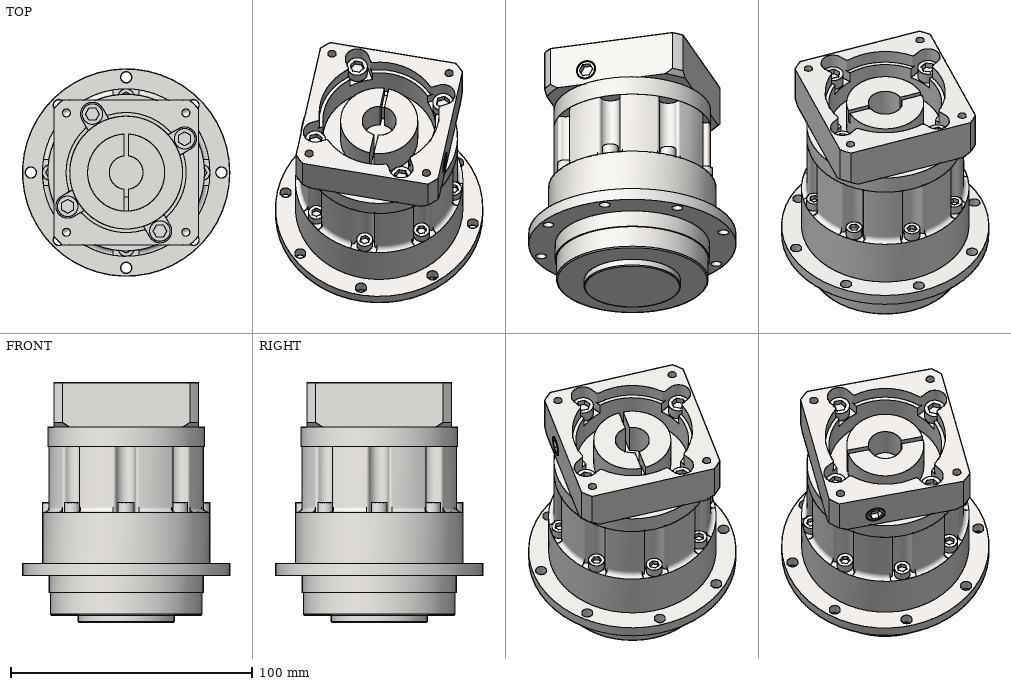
import cadquery as cq
import math


pilot_height = 3.0
front_disc_top = 12.5
flange_bottom = 19.5
flange_top = 24.5
shoulder_top = 45.7
adapter_bottom = 73.0
square_bottom = 81.0
overall_height = 99.5

pilot_radius = 20.0
front_disc_radius = 31.5
collar_radius = 32.0
housing_radius = 32.5
flange_radius = 43.0
shoulder_radius = 34.75
pilot_chamfer = 0.4
front_disc_chamfer = 0.5
shoulder_fillet = 2.0

flange_hole_count = 8
flange_hole_diameter = 4.5
flange_hole_circle_radius = 39.5

housing_screw_count = 8
housing_screw_circle_radius = 31.4
housing_screw_head_radius = 3.3
housing_screw_head_height = 4.0
housing_screw_hex_width = 3.5
housing_screw_hex_depth = 2.0
groove_radius = 4.0
groove_lip_radius = 1.2

adapter_ring_radius = housing_radius
square_side = 60.0
square_corner_radius = 40.0
corner_chamfer = 2.0

recess_radius = 24.9
recess_floor = overall_height - 6.0
bore_radius = 23.4
bore_floor = 79.0

adapter_screw_count = 4
adapter_screw_first_angle = 30.0
adapter_screw_circle_radius = 28.0
adapter_screw_head_radius = 4.25
adapter_screw_head_height = 5.0
adapter_screw_hex_width = 5.0
adapter_screw_hex_depth = 2.5
screw_pocket_radius = 4.9
screw_pocket_floor = recess_floor - adapter_screw_head_height
screw_pocket_lip_radius = 1.0

motor_hole_count = 4
motor_hole_circle_radius = 35.0
motor_hole_diameter = 3.3
motor_hole_depth = 10.0
drill_point_angle = 118.0

plug_y = 11.0
plug_z = 87.6
plug_radius = 3.75
plug_hole_radius = 4.1
plug_gap_depth = 0.2
plug_hex_width = 5.0
plug_hex_depth = 2.5

hub_radius = 16.0
hub_bore_radius = 7.0
hub_slot_width = 1.8
hub_web_inner_y = 10.1
hub_web_top = 88.0


def polar_point(radius, angle):
    """Point in the XY plane at a radius and an angle in radians."""
    return (radius * math.cos(angle), radius * math.sin(angle))


def cylinder(radius, bottom, top):
    """Cylinder on the gearbox axis between two levels."""
    return cq.Workplane("XY").workplane(offset=bottom).circle(radius).extrude(top - bottom)


def hexagon_across_corners(width_across_flats):
    """Distance across the corners of a regular hexagon."""
    return width_across_flats / math.cos(math.pi / 6)


def socket_screw_head(head_radius, head_height, hex_width, hex_depth):
    """Cylindrical screw head standing on Z = 0 with a hexagon socket in its top."""
    return (
        cq.Workplane("XY")
        .circle(head_radius)
        .extrude(head_height)
        .faces(">Z")
        .workplane()
        .polygon(6, hexagon_across_corners(hex_width))
        .cutBlind(-hex_depth)
    )


def around_axis(shape, count, first_angle=0.0):
    """Copies of a shape spaced evenly about the gearbox axis."""
    step = 360.0 / count
    return [shape.rotate((0, 0, 0), (0, 0, 1), first_angle + i * step) for i in range(count)]


def make_groove_cutter():
    """Axial screw groove on the +X side, with its two mouth edges rounded into the housing wall."""
    lip_center_radius = housing_radius - groove_lip_radius
    lip_to_groove = groove_radius + groove_lip_radius
    lip_angle = math.acos(
        (lip_center_radius**2 + housing_screw_circle_radius**2 - lip_to_groove**2)
        / (2 * lip_center_radius * housing_screw_circle_radius)
    )
    lip_x, lip_y = polar_point(lip_center_radius, lip_angle)
    wall_x, wall_y = polar_point(housing_radius, lip_angle)

    share = groove_radius / lip_to_groove
    tangent_x = housing_screw_circle_radius + share * (lip_x - housing_screw_circle_radius)
    tangent_y = share * lip_y

    start_angle = math.atan2(tangent_y - lip_y, tangent_x - lip_x)
    middle_angle = (start_angle + lip_angle) / 2
    middle_x = lip_x + groove_lip_radius * math.cos(middle_angle)
    middle_y = lip_y + groove_lip_radius * math.sin(middle_angle)

    outer_x = shoulder_radius + groove_lip_radius
    groove_bottom = (housing_screw_circle_radius - groove_radius, 0)
    return (
        cq.Workplane("XY")
        .workplane(offset=shoulder_top)
        .moveTo(outer_x, -wall_y)
        .lineTo(wall_x, -wall_y)
        .threePointArc((middle_x, -middle_y), (tangent_x, -tangent_y))
        .threePointArc(groove_bottom, (tangent_x, tangent_y))
        .threePointArc((middle_x, middle_y), (wall_x, wall_y))
        .lineTo(outer_x, wall_y)
        .close()
        .extrude(adapter_bottom - shoulder_top)
    )


def make_gearbox_body():
    """Output pilot, mounting flange and grooved housing with its screw heads."""
    pilot = cylinder(pilot_radius, 0, pilot_height).faces("<Z").chamfer(pilot_chamfer)
    front_disc = (
        cylinder(front_disc_radius, pilot_height, front_disc_top).faces("<Z").chamfer(front_disc_chamfer)
    )
    collar = cylinder(collar_radius, front_disc_top, flange_bottom)
    flange = cylinder(flange_radius, flange_bottom, flange_top)
    shoulder = cylinder(shoulder_radius, flange_top, shoulder_top)

    flare_reach = shoulder_fillet * (1 - math.sqrt(0.5))
    housing = (
        cq.Workplane("XZ")
        .moveTo(0, shoulder_top)
        .lineTo(housing_radius + shoulder_fillet, shoulder_top)
        .threePointArc(
            (housing_radius + flare_reach, shoulder_top + flare_reach),
            (housing_radius, shoulder_top + shoulder_fillet),
        )
        .lineTo(housing_radius, adapter_bottom)
        .lineTo(0, adapter_bottom)
        .close()
        .revolve(360, (0, 0, 0), (0, 1, 0))
    )
    for groove in around_axis(make_groove_cutter(), housing_screw_count):
        housing = housing.cut(groove)

    body = pilot
    for section in (front_disc, collar, flange, shoulder, housing):
        body = body.union(section)

    flange_holes = (
        cq.Workplane("XY")
        .workplane(offset=flange_bottom)
        .polarArray(flange_hole_circle_radius, 0, 360, flange_hole_count)
        .circle(flange_hole_diameter / 2)
        .extrude(flange_top - flange_bottom)
    )
    body = body.cut(flange_holes)

    screw_head = socket_screw_head(
        housing_screw_head_radius,
        housing_screw_head_height,
        housing_screw_hex_width,
        housing_screw_hex_depth,
    ).translate((housing_screw_circle_radius, 0, shoulder_top))
    for head in around_axis(screw_head, housing_screw_count):
        body = body.union(head)
    return body


def make_adapter_blank():
    """Square plate with turned corners, bevelled underneath, on a round ring."""
    ring = cylinder(adapter_ring_radius, adapter_bottom, square_bottom)
    turned = (
        cylinder(square_corner_radius, square_bottom, overall_height).faces("<Z").chamfer(corner_chamfer)
    )
    square = (
        cq.Workplane("XY")
        .workplane(offset=square_bottom)
        .rect(square_side, square_side)
        .extrude(overall_height - square_bottom)
    )
    return ring.union(turned.intersect(square))


def make_screw_pocket(floor):
    """Round-ended pocket on the +X side, open toward the axis, from a floor to the top face."""
    depth = overall_height - floor
    round_end = (
        cq.Workplane("XY")
        .workplane(offset=floor)
        .center(adapter_screw_circle_radius, 0)
        .circle(screw_pocket_radius)
        .extrude(depth)
    )
    throat = (
        cq.Workplane("XY")
        .workplane(offset=floor)
        .center(adapter_screw_circle_radius / 2, 0)
        .rect(adapter_screw_circle_radius, 2 * screw_pocket_radius)
        .extrude(depth)
    )
    return round_end.union(throat)


def make_recess_cutter():
    """Upper recess joined to the screw pockets, with the corners between them rounded."""
    cutter = cylinder(recess_radius, recess_floor, overall_height)
    for pocket in around_axis(make_screw_pocket(recess_floor), adapter_screw_count, adapter_screw_first_angle):
        cutter = cutter.union(pocket)
    corners = [
        edge
        for edge in cutter.edges("|Z").vals()
        if math.hypot(edge.Center().x, edge.Center().y) < recess_radius + screw_pocket_lip_radius
    ]
    return cutter.newObject(corners).fillet(screw_pocket_lip_radius)


def make_motor_hole():
    """Blind drilled hole on the +X side, with a conical bottom."""
    radius = motor_hole_diameter / 2
    point_length = radius / math.tan(math.radians(drill_point_angle / 2))
    return (
        cq.Workplane("XZ")
        .lineTo(radius, 0)
        .lineTo(radius, -motor_hole_depth)
        .lineTo(0, -motor_hole_depth - point_length)
        .close()
        .revolve(360, (0, 0, 0), (0, 1, 0))
        .translate((motor_hole_circle_radius, 0, overall_height))
    )


def cut_access_plug(body):
    """Plug of the clamp screw access: a thin circular gap and a hexagon socket in the -X face."""
    face = cq.Workplane("YZ", origin=(-square_side / 2, plug_y, plug_z))
    gap = face.circle(plug_hole_radius).circle(plug_radius).extrude(plug_gap_depth)
    socket = face.polygon(6, hexagon_across_corners(plug_hex_width)).extrude(plug_hex_depth)
    return body.cut(gap).cut(socket)


def make_adapter():
    """Motor adapter with its stepped bore, screw pockets, screw heads and motor holes."""
    body = make_adapter_blank()
    body = body.cut(make_recess_cutter())

    for pocket in around_axis(
        make_screw_pocket(screw_pocket_floor), adapter_screw_count, adapter_screw_first_angle
    ):
        body = body.cut(pocket.intersect(cylinder(square_corner_radius, screw_pocket_floor, recess_floor)))
    body = body.cut(cylinder(bore_radius, bore_floor, recess_floor))

    screw_head = socket_screw_head(
        adapter_screw_head_radius,
        adapter_screw_head_height,
        adapter_screw_hex_width,
        adapter_screw_hex_depth,
    ).translate((adapter_screw_circle_radius, 0, screw_pocket_floor))
    for head in around_axis(screw_head, adapter_screw_count, adapter_screw_first_angle):
        body = body.union(head)

    for hole in around_axis(make_motor_hole(), motor_hole_count, 180.0 / motor_hole_count):
        body = body.cut(hole)
    return cut_access_plug(body)


def make_clamping_hub():
    """Hub standing on the bore floor, split on +Y and slotted on -Y down to an outer web."""
    height = recess_floor - bore_floor
    body = cylinder(hub_radius, bore_floor, recess_floor).cut(
        cylinder(hub_bore_radius, bore_floor, recess_floor)
    )
    half_width = hub_slot_width / 2
    full_slot = (
        cq.Workplane("XY")
        .box(hub_slot_width, hub_radius + hub_web_inner_y, height, centered=False)
        .translate((-half_width, -hub_web_inner_y, bore_floor))
    )
    web_slot = (
        cq.Workplane("XY")
        .box(hub_slot_width, hub_radius, recess_floor - hub_web_top, centered=False)
        .translate((-half_width, -hub_radius, hub_web_top))
    )
    return body.cut(full_slot).cut(web_slot)


gearbox_body = make_gearbox_body()
adapter = make_adapter()
clamping_hub = make_clamping_hub()

result = cq.Compound.makeCompound([gearbox_body.val(), adapter.val(), clamping_hub.val()])